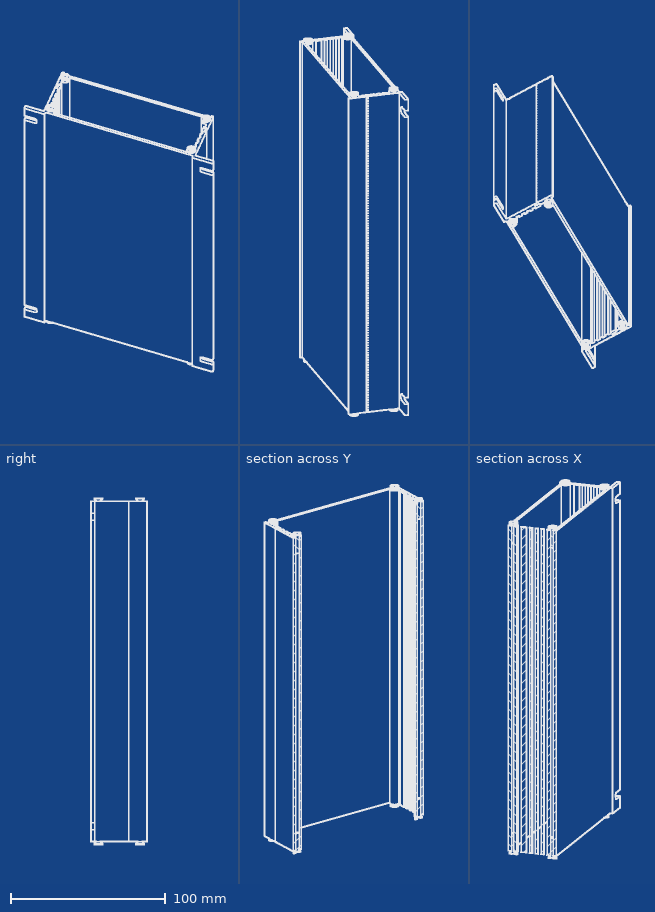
import cadquery as cq


overall_width = 130.0
overall_height = 36.4
body_length = 220.0
half_length = body_length / 2
top_y = overall_height / 2
bottom_y = -overall_height / 2

wall_outer = 52.2
wall_inner = 49.9
rim_thickness = 1.5
rim_inner = wall_outer - rim_thickness

panel_thickness = 1.5
cover_recess = 1.4
base_recess = 1.7
cover_outer_y = top_y - cover_recess
cover_inner_y = cover_outer_y - panel_thickness
base_outer_y = bottom_y + base_recess
base_inner_y = base_outer_y + panel_thickness

flange_thickness = 2.4
flange_top_y = bottom_y + flange_thickness
flange_edge = overall_width / 2
flange_edge_radius = 0.6
lip_inner = 50.85
lip_bevel = 0.2
lip_fillet = 0.5
slot_width = 4.5
slot_depth = 8.7
slot_corner_radius = 1.5
slot_z = 100.0

groove_pitch = 4.0
groove_width = 2.0
groove_floor = 0.2
groove_depth = 0.2
groove_count = 8

rib_width = 2.0
rib_height = 0.8
rib_inner = wall_inner - rib_height
first_rib_y = -10.75
rib_count = 4

seam_y = top_y - 3 * groove_pitch
blade_outer = 51.4
blade_inner = rim_inner
blade_tip_y = seam_y - 1.4
tongue_top_y = seam_y + 1.8
tongue_bottom_y = first_rib_y + rib_count * groove_pitch - rib_width / 2
tongue_chamfer = 0.5

shank_diameter = 2.68
head_diameter = 5.5
head_height = 2.0
head_rim_height = 0.57
screw_length = 12.0
recess_diameter = 3.0
recess_floor_diameter = 1.4
recess_depth = 1.0
boss_diameter = 6.2
screw_x = 48.5
cover_screw_y = 13.6
base_screw_y = -13.4


def bar(x_start, x_end, y_start, y_end):
    """Rectangular bar running the full length of the extrusion."""
    return profile([(x_start, y_start), (x_end, y_start), (x_end, y_end), (x_start, y_end)])


def profile(points):
    """Bar of any polygonal section running the full length of the extrusion."""
    return cq.Workplane("XY", origin=(0, 0, -half_length)).polyline(points).close().extrude(body_length)


def round_bar(diameter, y):
    """Round bar on the screw axis at the given height."""
    return cq.Workplane("XY", origin=(screw_x, y, -half_length)).circle(diameter / 2).extrude(body_length)


def both_sides(side):
    """The +X side piece together with its mirror image."""
    return side.union(side.mirror("YZ"))


def outer_grooves():
    """Shallow trapezoidal grooves on the outer wall face; the first one halves the top edge."""
    floor_x = wall_outer - groove_depth
    grooves = None
    for index in range(groove_count + 1):
        y = top_y - index * groove_pitch
        groove = profile([
            (wall_outer, y - groove_width / 2),
            (floor_x, y - groove_floor / 2),
            (floor_x, y + groove_floor / 2),
            (wall_outer, y + groove_width / 2),
        ])
        grooves = groove if grooves is None else grooves.union(groove)
    return grooves


def make_cover():
    """Top shell: panel, upper walls with joint blades, and two screw bosses."""
    side = bar(rim_inner, wall_outer, seam_y, top_y)
    side = side.union(bar(wall_inner, rim_inner, tongue_top_y, cover_outer_y))
    side = side.union(bar(blade_inner, blade_outer, blade_tip_y, seam_y))
    boss = round_bar(boss_diameter, cover_screw_y).intersect(
        bar(0, wall_outer, tongue_top_y, cover_outer_y)
    )
    side = side.union(boss).cut(outer_grooves())
    panel = bar(-rim_inner, rim_inner, cover_inner_y, cover_outer_y)
    screw_holes = both_sides(round_bar(shank_diameter, cover_screw_y))
    return both_sides(side).union(panel).cut(screw_holes).clean()


def make_flange():
    """Mounting flange: rounded free edge, bevelled lip and a fillet from the lip to the base panel."""
    flange = (
        cq.Workplane("XY", origin=(0, 0, -half_length))
        .moveTo(lip_inner - lip_fillet, flange_top_y)
        .lineTo(flange_edge, flange_top_y)
        .lineTo(flange_edge, bottom_y)
        .lineTo(lip_inner + lip_bevel, bottom_y)
        .lineTo(lip_inner, bottom_y + lip_bevel)
        .lineTo(lip_inner, base_outer_y - lip_fillet)
        .radiusArc((lip_inner - lip_fillet, base_outer_y), -lip_fillet)
        .close()
        .extrude(body_length)
    )
    return flange.edges("|Z and >X").fillet(flange_edge_radius)


def make_slot(z):
    """Cutter for one slot that is open at the free edge of the flange."""
    return (
        cq.Workplane("XY")
        .box(2 * slot_depth, 2 * flange_thickness, slot_width)
        .edges("<X and |Y")
        .fillet(slot_corner_radius)
        .translate((flange_edge, bottom_y + flange_thickness / 2, z))
    )


def make_base():
    """Bottom shell: panel, lower walls with joint tongues, flanges and two screw bosses."""
    side = bar(wall_inner, wall_outer, base_outer_y, blade_tip_y)
    side = side.union(bar(blade_outer, wall_outer, blade_tip_y, seam_y))
    tongue = profile([
        (rib_inner, tongue_bottom_y),
        (blade_inner, tongue_bottom_y),
        (blade_inner, tongue_top_y - tongue_chamfer),
        (blade_inner - tongue_chamfer, tongue_top_y),
        (rib_inner, tongue_top_y),
    ])
    side = side.union(tongue)
    for index in range(rib_count):
        rib_y = first_rib_y + index * groove_pitch
        side = side.union(bar(rib_inner, wall_inner, rib_y - rib_width / 2, rib_y + rib_width / 2))
    boss = round_bar(boss_diameter, base_screw_y).intersect(
        bar(0, wall_outer, base_outer_y, seam_y)
    )
    side = side.union(boss).cut(outer_grooves()).union(make_flange())
    for z in (-slot_z, slot_z):
        side = side.cut(make_slot(z))
    panel = bar(-rim_inner, rim_inner, base_outer_y, base_inner_y)
    screw_holes = both_sides(round_bar(shank_diameter, base_screw_y))
    return both_sides(side).union(panel).cut(screw_holes).clean()


def make_screw(x, y, end):
    """Countersunk screw at the +Z (end = 1) or -Z (end = -1) end, its head standing proud."""
    shank_radius = shank_diameter / 2
    head_radius = head_diameter / 2
    rim_base = head_height - head_rim_height
    cone_base = rim_base - (head_radius - shank_radius)
    screw = (
        cq.Workplane("XZ")
        .moveTo(0, -screw_length)
        .lineTo(shank_radius, -screw_length)
        .lineTo(shank_radius, cone_base)
        .lineTo(head_radius, rim_base)
        .lineTo(head_radius, head_height)
        .lineTo(recess_diameter / 2, head_height)
        .lineTo(recess_floor_diameter / 2, head_height - recess_depth)
        .lineTo(0, head_height - recess_depth)
        .close()
        .revolve(360, (0, 0, 0), (0, 1, 0))
    )
    if end < 0:
        screw = screw.mirror("XY")
    return screw.translate((x, y, end * half_length))


cover = make_cover()
base = make_base()
screws = [
    make_screw(x, y, end).val()
    for x in (-screw_x, screw_x)
    for y in (base_screw_y, cover_screw_y)
    for end in (-1, 1)
]

result = cq.Compound.makeCompound([base.val(), cover.val(), *screws])